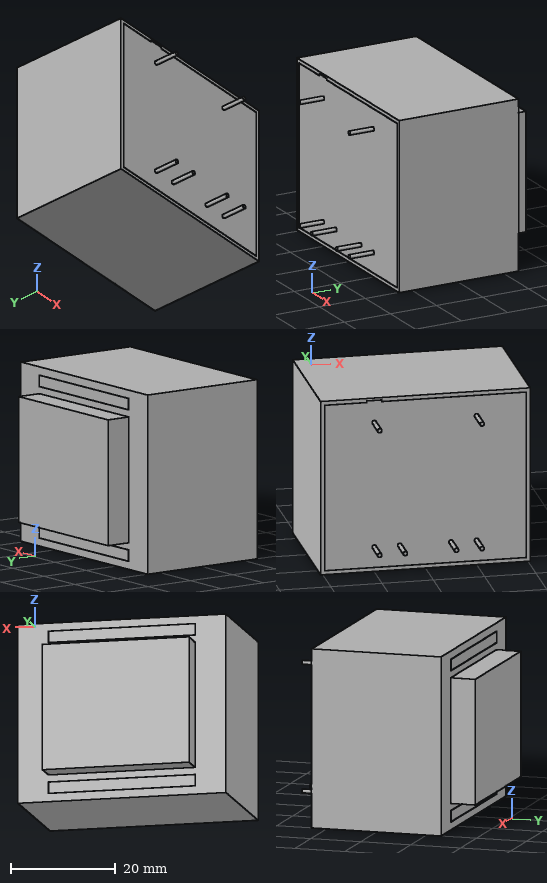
import cadquery as cq

width = 40.9
height = 34.9
body_depth = 25.97

rim = 0.8
recess_depth = 0.05
notch_width = 3.0
notch_height = 0.33

core_width = 28.8
core_height = 24.45
core_depth = 4.9

pad_width = core_width
pad_height = 2.2
pad_thickness = 0.1
pad_offset = 14.72

pin_pitch = 5.0
pin_diameter = 0.8
pin_length = 5.1
pin_row_z = 12.5
upper_pin_columns = (-2, 2)
lower_pin_columns = (-2, -1, 1, 2)

front_y = 0.0
back_y = front_y + body_depth
recess_floor_y = front_y + recess_depth


def block(x_size, z_size, y_start, y_end, x=0.0, z=0.0):
    """Box centred at (x, z) that spans y_start to y_end."""
    y_size = y_end - y_start
    return cq.Workplane("XY").box(x_size, y_size, z_size).translate((x, y_start + y_size / 2, z))


def pin(column, z):
    """Round pin from the recess floor out past the front face."""
    length = pin_length + recess_depth
    base = cq.Vector(column * pin_pitch, recess_floor_y, z)
    return cq.Workplane(cq.Solid.makeCylinder(pin_diameter / 2, length, base, cq.Vector(0, -1, 0)))


result = block(width, height, front_y, back_y)
recess_top_z = height / 2 - rim
result = result.cut(block(width - 2 * rim, height - 2 * rim, front_y, recess_floor_y))

notch = block(
    notch_width,
    2 * notch_height,
    front_y,
    recess_floor_y,
    x=upper_pin_columns[0] * pin_pitch,
    z=recess_top_z,
)
result = result.cut(notch)

result = result.union(block(core_width, core_height, back_y, back_y + core_depth))
for side in (-1, 1):
    pad = block(pad_width, pad_height, back_y, back_y + pad_thickness, z=side * pad_offset)
    result = result.union(pad)

for column in upper_pin_columns:
    result = result.union(pin(column, pin_row_z))
for column in lower_pin_columns:
    result = result.union(pin(column, -pin_row_z))